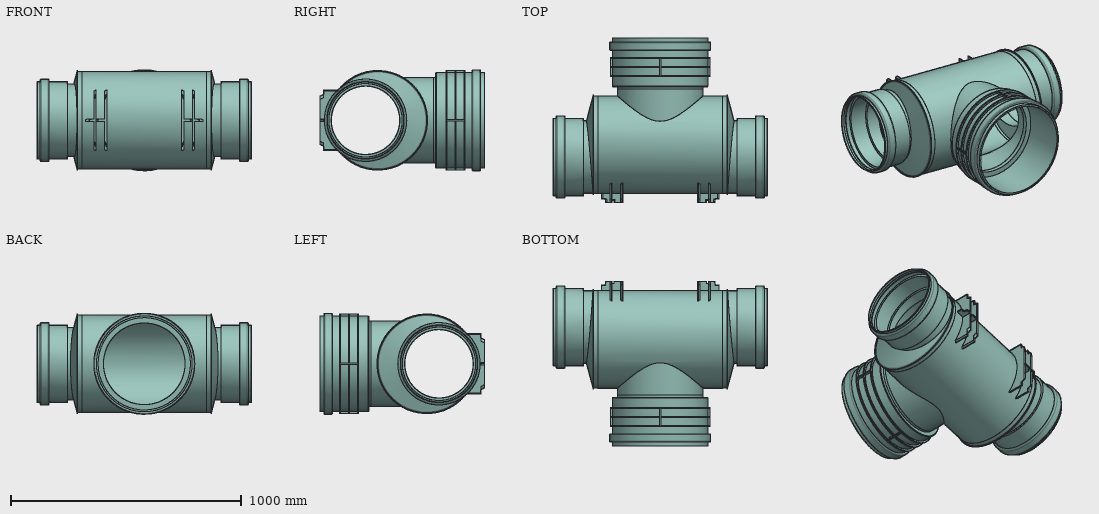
import cadquery as cq

CHAMBER_DIA = 424.0
CHAMBER_BORE = 404.0
WALL = (CHAMBER_DIA - CHAMBER_BORE) / 2
CHAMBER_HALF = 269.0

BRANCH_DIA = 372.0
BRANCH_BORE = 353.0
BRANCH_END = 241.0

CAP_AXIS_Y = -53.0
RIM_DIA = 431.5
RIM_START = 288.0
RIM_END = 292.0
CONE_BASE_DIA = 418.5
CONE_TIP_DIA = 186.0
CONE_LENGTH = 31.0
NECK_DIA = 315.0
NECK_BORE = 296.0

SOCKET_START = 333.0
SOCKET_END = 465.0
SOCKET_DIA = 336.0
SOCKET_BORE = 318.0
BEAD_DIA = 357.0
BEAD_START = 412.0
BEAD_END = 451.0
BEAD_FILLET = 6.0
SEAL_DIA = 339.0
SEAL_START = 419.0
SEAL_END = 441.0
LIP_END_DIA = 333.0
LIP_BEVEL_LENGTH = 4.0
MOUTH_BORE = 331.0

BRANCH_SOCKET_START = 251.0
BRANCH_SOCKET_END = 463.0
BRANCH_SOCKET_DIA = 415.0
BRANCH_SOCKET_BORE = 400.0
BRANCH_BEAD_DIA = 438.0
BRANCH_BEAD_START = 409.0
BRANCH_BEAD_END = 445.0
BRANCH_BEAD_FILLET = 4.0
BRANCH_START_CHAMFER = 3.0
RIB_DIA = 431.5
RIB_WIDTH = 6.0
RIB_CENTRES = (298.0, 337.0, 376.0)
LONG_RIB_COUNT = 4

FOOT_Y = -251.0
SHOULDER_Y = -234.0
PLATE_HALF_HEIGHT = 131.0
PLATE_THICKNESS = 9.0
OUTER_PLATE_X = 208.0
INNER_PLATE_X = 162.0
NOSE_HALF_ROOT = 112.5
NOSE_HALF_TIP = 104.0
PLATE_SIDE_BEVEL = 5.0
NOSE_BEVEL = 14.0
PLATE_BEVEL_DEPTH = 6.5
WEB_THICKNESS = 9.0
WEB_TIP_X = 255.0
WEB_STEP_ROOT_X = 239.0
WEB_STEP_FOOT_X = 236.0
WEB_BEVEL = 6.5
WEB_BEVEL_DEPTH = 3.0
NOTCH_X = 201.0
NOTCH_Y = -242.0
NOTCH_BEVEL = 5.0


def cylinder(axial_start, axial_end, dia):
    """Cylinder along X."""
    return cq.Workplane("YZ", origin=(axial_start, 0, 0)).circle(dia / 2).extrude(axial_end - axial_start)


def turned(profile):
    """Revolve (axial position, diameter) points about the X axis, closed along the axis."""
    points = [(profile[0][0], 0)]
    points += [(axial, -dia / 2) for axial, dia in profile]
    points += [(profile[-1][0], 0)]
    return cq.Workplane("XY").polyline(points).close().revolve(360, (0, 0, 0), (1, 0, 0))


def along_branch(body):
    """Turn a body from the X axis onto the Y axis."""
    return body.rotate((0, 0, 0), (0, 0, 1), 90)


def bead_ring(start, end, dia, fillet):
    """Ring with rounded edges around the X axis."""
    return cylinder(start, end, dia).edges().fillet(fillet)


def bevelled_slab(base_points, top_points, plane, thickness, bevel_depth):
    """Slab with the base outline, bevelled at its top face down to the top outline."""
    land = thickness - bevel_depth
    slab = cq.Workplane(plane).polyline(base_points).close().extrude(land)
    bevel = cq.Workplane(plane).workplane(offset=land).polyline(base_points).close()
    bevel = bevel.workplane(offset=bevel_depth).polyline(top_points).close().loft(ruled=True)
    return slab.union(bevel)


def plate_outline(side_bevel, nose_bevel):
    """Outline of a foot plate in (Y, Z); it reaches back to the chamber axis."""
    half_height = PLATE_HALF_HEIGHT - side_bevel
    root = NOSE_HALF_ROOT - nose_bevel
    tip = NOSE_HALF_TIP - nose_bevel
    lower_half = [
        (0, -half_height),
        (SHOULDER_Y, -half_height),
        (SHOULDER_Y, -root),
        (FOOT_Y, -tip),
    ]
    upper_half = [(y, -z) for y, z in reversed(lower_half)]
    return lower_half + upper_half


def foot_plate(x):
    """Plate whose inner face lies at x, bevelled on its outer face."""
    inner_face = plate_outline(0, 0)
    outer_face = plate_outline(PLATE_SIDE_BEVEL, NOSE_BEVEL)
    plate = bevelled_slab(inner_face, outer_face, "YZ", PLATE_THICKNESS, PLATE_BEVEL_DEPTH)
    return plate.translate((x, 0, 0))


def web_outline(end_bevel, notch_bevel):
    """Outline of the web that joins two foot plates, in (X, Y)."""
    plate_middle = OUTER_PLATE_X + PLATE_THICKNESS / 2
    notch_x = NOTCH_X - notch_bevel
    notch_y = NOTCH_Y + notch_bevel
    return [
        (INNER_PLATE_X + PLATE_THICKNESS / 2, 0),
        (INNER_PLATE_X + PLATE_THICKNESS / 2, FOOT_Y),
        (notch_x, FOOT_Y),
        (notch_x, notch_y),
        (plate_middle, notch_y),
        (plate_middle, FOOT_Y),
        (WEB_STEP_FOOT_X - end_bevel, FOOT_Y),
        (WEB_STEP_ROOT_X - end_bevel, SHOULDER_Y),
        (WEB_TIP_X - end_bevel, SHOULDER_Y),
        (WEB_TIP_X - end_bevel, 0),
    ]


def foot():
    """Foot on the +X side: two plates and a web."""
    lower_face = web_outline(0, 0)
    upper_face = web_outline(WEB_BEVEL, NOTCH_BEVEL)
    web = bevelled_slab(lower_face, upper_face, "XY", WEB_THICKNESS, WEB_BEVEL_DEPTH)
    web = web.translate((0, 0, -WEB_THICKNESS / 2))
    return web.union(foot_plate(OUTER_PLATE_X)).union(foot_plate(INNER_PLATE_X))


def make_chamber():
    """Tee-shaped pipe with its two feet."""
    right_foot = foot()
    tee = cylinder(-CHAMBER_HALF, CHAMBER_HALF, CHAMBER_DIA)
    tee = tee.union(along_branch(cylinder(0, BRANCH_END, BRANCH_DIA)))
    tee = tee.union(right_foot).union(right_foot.mirror("YZ"))
    tee = tee.cut(cylinder(-CHAMBER_HALF, CHAMBER_HALF, CHAMBER_BORE))
    return tee.cut(along_branch(cylinder(0, BRANCH_END, BRANCH_BORE)))


def small_socket_shell():
    """Outside of a small socket: body, bead and bevelled lip."""
    shell = turned([
        (SOCKET_START, SOCKET_DIA),
        (SOCKET_END - LIP_BEVEL_LENGTH, SOCKET_DIA),
        (SOCKET_END, LIP_END_DIA),
    ])
    return shell.union(bead_ring(BEAD_START, BEAD_END, BEAD_DIA, BEAD_FILLET))


def small_socket_cavity():
    """Inside of a small socket: neck bore, socket bore, seal groove and mouth."""
    socket_floor = SOCKET_START + WALL
    return turned([
        (CHAMBER_HALF, NECK_BORE),
        (socket_floor, NECK_BORE),
        (socket_floor, SOCKET_BORE),
        (SEAL_START, SOCKET_BORE),
        (SEAL_START, SEAL_DIA),
        (SEAL_END, SEAL_DIA),
        (SEAL_END, MOUTH_BORE),
        (SOCKET_END, MOUTH_BORE),
    ])


def make_end_cap():
    """Cap on the +X end, with the off-axis neck and socket."""
    off_axis = (0, CAP_AXIS_Y, 0)
    outside = turned([
        (CHAMBER_HALF, CHAMBER_DIA),
        (RIM_START, CHAMBER_DIA),
        (RIM_START, RIM_DIA),
        (RIM_END, RIM_DIA),
        (RIM_END, CONE_BASE_DIA),
        (RIM_END + CONE_LENGTH, CONE_TIP_DIA),
    ])
    neck = cylinder(CHAMBER_HALF, SOCKET_START, NECK_DIA)
    outside = outside.union(neck.union(small_socket_shell()).translate(off_axis))

    inside = turned([
        (CHAMBER_HALF, CHAMBER_BORE),
        (RIM_END - WALL, CHAMBER_BORE),
        (RIM_END - WALL + CONE_LENGTH, CONE_TIP_DIA),
    ])
    return outside.cut(inside).cut(small_socket_cavity().translate(off_axis))


def make_branch_socket():
    """Large socket on the branch, with ring ribs and lengthwise ribs."""
    socket = cylinder(BRANCH_SOCKET_START, BRANCH_SOCKET_END, BRANCH_SOCKET_DIA)
    socket = socket.faces("<X").edges().chamfer(BRANCH_START_CHAMFER)
    socket = socket.union(cylinder(BRANCH_END, BRANCH_SOCKET_START, BRANCH_DIA))
    socket = socket.union(
        bead_ring(BRANCH_BEAD_START, BRANCH_BEAD_END, BRANCH_BEAD_DIA, BRANCH_BEAD_FILLET))

    for centre in RIB_CENTRES:
        socket = socket.union(cylinder(centre - RIB_WIDTH / 2, centre + RIB_WIDTH / 2, RIB_DIA))

    rib_span = RIB_CENTRES[-1] - RIB_CENTRES[0]
    rib_middle = (RIB_CENTRES[-1] + RIB_CENTRES[0]) / 2
    for index in range(LONG_RIB_COUNT // 2):
        bar = cq.Workplane("XY").box(rib_span, RIB_WIDTH, RIB_DIA).translate((rib_middle, 0, 0))
        socket = socket.union(bar.rotate((0, 0, 0), (1, 0, 0), index * 360 / LONG_RIB_COUNT))

    socket_floor = BRANCH_SOCKET_START + WALL
    cavity = turned([
        (BRANCH_END, BRANCH_BORE),
        (socket_floor, BRANCH_BORE),
        (socket_floor, BRANCH_SOCKET_BORE),
        (BRANCH_SOCKET_END, BRANCH_SOCKET_BORE),
    ])
    socket = socket.cut(cavity)
    return along_branch(socket)


chamber = make_chamber()
right_cap = make_end_cap()
end_caps = [right_cap, right_cap.mirror("YZ")]
branch_socket = make_branch_socket()

result = cq.Compound.makeCompound([
    chamber.val(),
    *[cap.val() for cap in end_caps],
    branch_socket.val(),
])